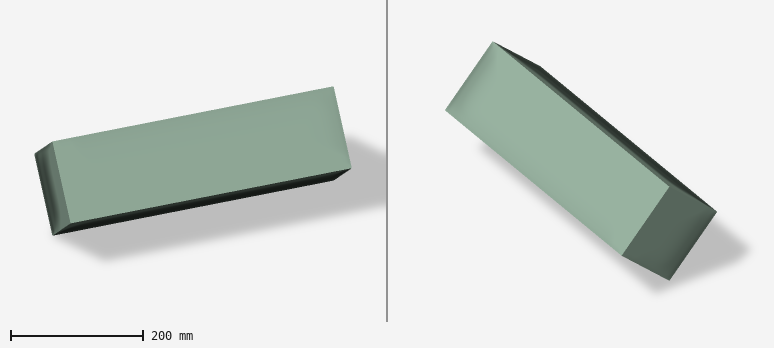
import cadquery as cq

side = 127.0
length = 444.5
roll_angle = 45.0
yaw_angle = -0.48


def square_bar():
    """Square bar along Y, centred on the origin, with its faces upright."""
    return cq.Workplane("XY").box(side, length, side)


def turn_about(body, axis, angle):
    """Rotate the body about an axis through the origin."""
    return body.rotate((0, 0, 0), axis, angle)


bar_on_edge = turn_about(square_bar(), (0, 1, 0), roll_angle)
result = turn_about(bar_on_edge, (0, 0, 1), yaw_angle)